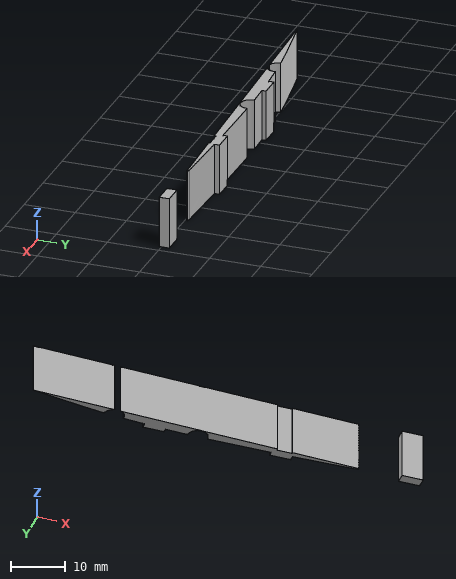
import cadquery as cq

TOTAL_LENGTH = 77.0
HEIGHT = 10.0
TOP_Y = 4.15

BLADE_LENGTH = 64.7
UNDERSIDE_RISE = 2.4
TIP_THICKNESS = 0.1
END_THICKNESS = 0.2
CROWN_POINTS = [
    (8.25, 1.4), (14.85, 2.3), (21.25, 2.85), (28.0, 3.2), (38.5, 3.4), (49.3, 3.2), (55.75, 3.0), (64.0, 2.8),
]

GROOVE_RADIUS = 1.9
CUT_GROOVE = (16.7, 2.5)
HINGE_GROOVE = (33.4, 3.3)

BOSS_WIDTH = 4.15
BOSS_ROOT_Y = 2.7
FRONT_BOSS_X = 22.95
FRONT_BOSS_TOP = 4.0
REAR_BOSS_X = 47.8

NOTCH_START = 48.5
NOTCH_END = 51.5
NOTCH_FLOOR_Y = 2.15

BLOCK_BOTTOM = 1.6
BLOCK_TOP = 3.6


def bar(x_start, x_end, y_start, y_end):
    """Rectangular bar running the full height."""
    return (
        cq.Workplane("XY")
        .moveTo(x_start, y_start)
        .lineTo(x_end, y_start)
        .lineTo(x_end, y_end)
        .lineTo(x_start, y_end)
        .close()
        .extrude(HEIGHT)
    )


def blade_blank():
    """Uncut blade with a straight underside and a crowned back."""
    end_corner = (BLADE_LENGTH, UNDERSIDE_RISE + END_THICKNESS)
    return (
        cq.Workplane("XY")
        .lineTo(0, TIP_THICKNESS)
        .spline(CROWN_POINTS, includeCurrent=True)
        .lineTo(*end_corner)
        .lineTo(BLADE_LENGTH, UNDERSIDE_RISE)
        .close()
        .extrude(HEIGHT)
    )


def groove(center):
    """Cylindrical cutter for a groove parallel to Z."""
    return cq.Workplane("XY").center(*center).circle(GROOVE_RADIUS).extrude(HEIGHT)


def make_nose():
    """Wedge between the left tip and the separating groove."""
    left_half = bar(0, CUT_GROOVE[0], 0, TOP_Y)
    return blade_blank().intersect(left_half).cut(groove(CUT_GROOVE))


def make_main_blade():
    """Long blade with two bosses, a hinge groove and an underside notch."""
    right_half = bar(CUT_GROOVE[0], BLADE_LENGTH, 0, TOP_Y)
    blade = blade_blank().intersect(right_half)
    for boss_x, boss_top in [(FRONT_BOSS_X, FRONT_BOSS_TOP), (REAR_BOSS_X, TOP_Y)]:
        blade = blade.union(bar(boss_x, boss_x + BOSS_WIDTH, BOSS_ROOT_Y, boss_top))
    for center in [CUT_GROOVE, HINGE_GROOVE]:
        blade = blade.cut(groove(center))
    return blade.cut(bar(NOTCH_START, NOTCH_END, 0, NOTCH_FLOOR_Y))


def make_block():
    """Plain block, as wide as a boss."""
    return bar(TOTAL_LENGTH - BOSS_WIDTH, TOTAL_LENGTH, BLOCK_BOTTOM, BLOCK_TOP)


nose = make_nose()
main_blade = make_main_blade()
block = make_block()

result = cq.Compound.makeCompound([nose.val(), main_blade.val(), block.val()])